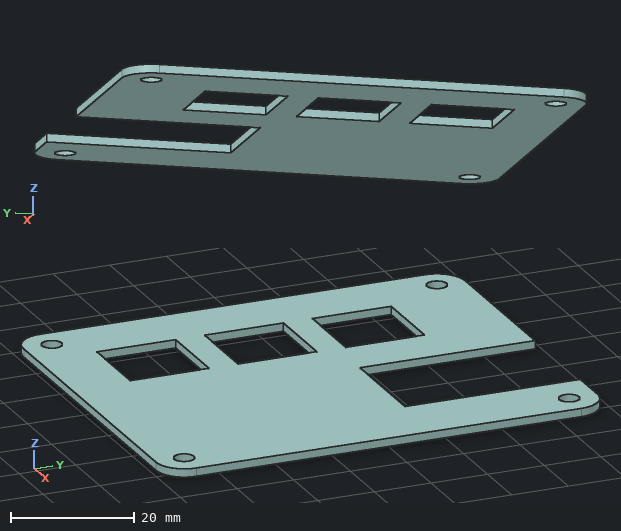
import cadquery as cq

width = 65.0
length = 78.0
thickness = 1.5
corner_radius = 5.0

screw_hole_diameter = 3.4
screw_inset = corner_radius

key_count = 3
key_size = 13.9
key_pitch = 19.0
key_column_from_left = 17.9
middle_key_from_top = 41.6

notch_width = 18.7
notch_depth = 31.0
notch_from_left = 34.2

left_edge = -width / 2
top_edge = length / 2


def make_plate():
    return (
        cq.Workplane("XY")
        .rect(width, length)
        .extrude(thickness)
        .edges("|Z")
        .fillet(corner_radius)
    )


def make_screw_holes():
    return (
        cq.Workplane("XY")
        .rect(width - 2 * screw_inset, length - 2 * screw_inset, forConstruction=True)
        .vertices()
        .circle(screw_hole_diameter / 2)
        .extrude(thickness)
    )


def make_key_openings():
    column_center = (left_edge + key_column_from_left, top_edge - middle_key_from_top)
    return (
        cq.Workplane("XY")
        .center(*column_center)
        .rarray(key_pitch, key_pitch, 1, key_count)
        .rect(key_size, key_size)
        .extrude(thickness)
    )


def make_notch():
    notch_corner = (left_edge + notch_from_left, top_edge - notch_depth)
    return (
        cq.Workplane("XY")
        .center(*notch_corner)
        .rect(notch_width, notch_depth, centered=False)
        .extrude(thickness)
    )


result = (
    make_plate()
    .cut(make_screw_holes())
    .cut(make_key_openings())
    .cut(make_notch())
)